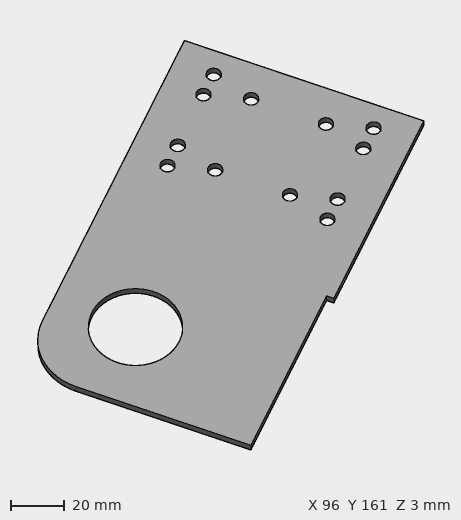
import cadquery as cq

length = 161.0
width = 96.0
thickness = 3.0
step_depth = 2.9
step_height = 73.5
corner_radius = 23.0

opening_diameter = 35.0
opening_x = 33.0
opening_y = 33.5

hole_diameter = 5.6
inner_spacing = 30.0
outer_spacing = 64.0
pair_pitch = 10.0
row_spacing = 35.0
upper_row_y = 145.9


def make_plate():
    """Flat plate with a stepped right edge and one rounded corner."""
    lower_width = width - step_depth
    outline = (
        cq.Workplane("XY")
        .lineTo(lower_width, 0)
        .lineTo(lower_width, step_height)
        .lineTo(width, step_height)
        .lineTo(width, length)
        .lineTo(0, length)
        .close()
    )
    plate = outline.extrude(thickness)
    return plate.edges("|Z").edges("<X").edges("<Y").fillet(corner_radius)


def row_hole_centers(row_y):
    """Two single inner holes and a vertical pair at each outer end."""
    centers = []
    for side in (-1, 1):
        inner_x = width / 2 + side * inner_spacing / 2
        outer_x = width / 2 + side * outer_spacing / 2
        centers.append((inner_x, row_y))
        centers.append((outer_x, row_y - pair_pitch / 2))
        centers.append((outer_x, row_y + pair_pitch / 2))
    return centers


def make_hole_cutter(centers, diameter):
    """Cylinders that pass through the full plate thickness."""
    return cq.Workplane("XY").pushPoints(centers).circle(diameter / 2).extrude(thickness)


mounting_centers = row_hole_centers(upper_row_y) + row_hole_centers(upper_row_y - row_spacing)

result = (
    make_plate()
    .cut(make_hole_cutter([(opening_x, opening_y)], opening_diameter))
    .cut(make_hole_cutter(mounting_centers, hole_diameter))
)